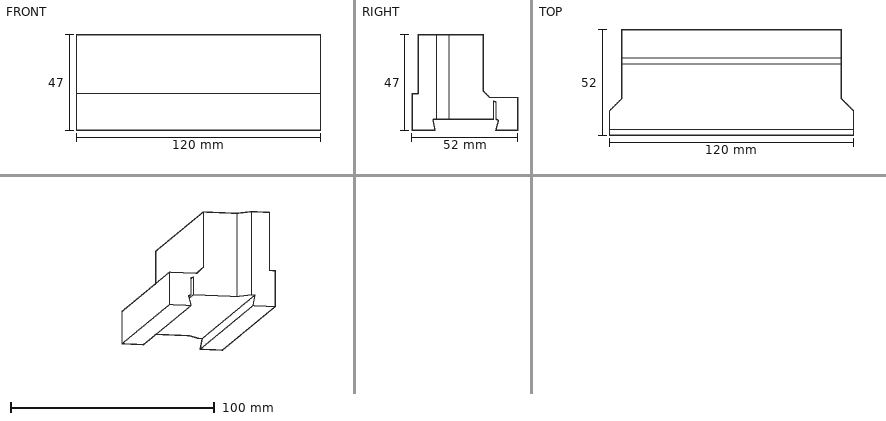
import cadquery as cq

length = 120.0
depth = 52.0
height = 47.0

rail_seat_height = 5.4
arm_top = 16.2
front_ledge_height = 18.0

front_ledge_width = 2.9
front_jaw_width = 11.3
front_undercut = 1.1

body_back = depth - 17.0
arm_chamfer = 3.1
back_jaw_width = 10.9
back_undercut = 1.3
back_lip_drop = 0.5

slot_front = depth - 12.0
slot_width = 1.2
slot_top = 14.3
slot_end_rise = 0.5
slot_back = slot_front + slot_width

flange_overhang = 6.0
flange_depth = 12.0


def clamp_profile():
    """Cross-section in YZ with the dovetail opening and flex slot."""
    outline = [
        (0, 0),
        (0, front_ledge_height),
        (front_ledge_width, front_ledge_height),
        (front_ledge_width, height),
        (body_back, height),
        (body_back, arm_top + arm_chamfer),
        (body_back + arm_chamfer, arm_top),
        (depth, arm_top),
        (depth, 0),
        (depth - back_jaw_width, 0),
        (depth - back_jaw_width + back_undercut, rail_seat_height - back_lip_drop),
        (slot_back, rail_seat_height),
        (slot_back, slot_top - slot_end_rise),
        (slot_front, slot_top),
        (slot_front, rail_seat_height),
        (front_jaw_width - front_undercut, rail_seat_height),
        (front_jaw_width, 0),
    ]
    return cq.Workplane("YZ").polyline(outline).close().extrude(length / 2, both=True)


def plan_envelope():
    """Plan outline: wide front flanges tapering at 45 degrees to the narrower body."""
    half_length = length / 2
    half_body = half_length - flange_overhang
    taper_end = flange_depth + flange_overhang
    outline = [
        (-half_length, 0),
        (half_length, 0),
        (half_length, flange_depth),
        (half_body, taper_end),
        (half_body, depth),
        (-half_body, depth),
        (-half_body, taper_end),
        (-half_length, flange_depth),
    ]
    return cq.Workplane("XY").polyline(outline).close().extrude(height)


result = clamp_profile().intersect(plan_envelope())